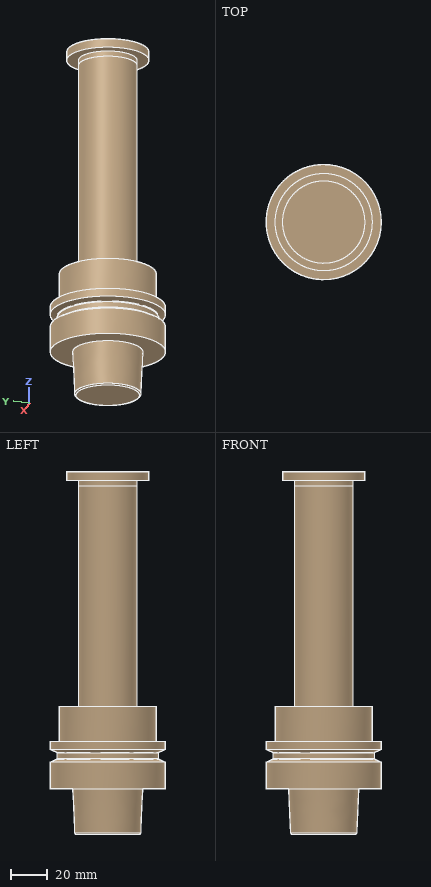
import cadquery as cq

total_height = 198.0

shank_height = 25.0
shank_top_dia = 38.5
shank_bottom_dia = 36.2
shank_chamfer = 0.8
flange_height = 26.0
flange_dia = 63.0
hub_height = 19.0
hub_dia = 53.0
stem_dia = 32.0

groove_center_above_face = 18.0
groove_floor_width = 3.5
groove_mouth_width = 7.0
groove_floor_dia = 55.5
groove_floor_fillet = 0.4

disc_dia = 45.0
disc_thickness = 5.0
neck_length = 3.0

flange_bottom = shank_height
flange_top = flange_bottom + flange_height
hub_top = flange_top + hub_height
stem_top = total_height - disc_thickness - neck_length


def cylinder(diameter, bottom, height):
    """Upright cylinder on the Z axis."""
    return cq.Workplane("XY").workplane(offset=bottom).circle(diameter / 2).extrude(height)


def revolve_profile(points):
    """Turn a closed (radius, Z) outline around the Z axis."""
    return cq.Workplane("XZ").polyline(points).close().revolve(360, (0, 0), (0, 1))


def make_shank():
    """Tapered shank with a chamfered bottom edge."""
    shank = revolve_profile([
        (0, 0),
        (shank_bottom_dia / 2, 0),
        (shank_top_dia / 2, shank_height),
        (0, shank_height),
    ])
    return shank.faces("<Z").edges().chamfer(shank_chamfer)


def make_flange():
    """Flange disc with a round-cornered groove cut into its rim."""
    center = flange_bottom + groove_center_above_face
    groove = revolve_profile([
        (groove_floor_dia / 2, center - groove_floor_width / 2),
        (flange_dia / 2, center - groove_mouth_width / 2),
        (flange_dia / 2, center + groove_mouth_width / 2),
        (groove_floor_dia / 2, center + groove_floor_width / 2),
    ])
    floor_edges = groove.edges(cq.selectors.RadiusNthSelector(0))
    groove = floor_edges.fillet(groove_floor_fillet)
    return cylinder(flange_dia, flange_bottom, flange_height).cut(groove)


def make_holder():
    """Shank, flange, hub and long stem as one solid."""
    hub = cylinder(hub_dia, flange_top, hub_height)
    stem = cylinder(stem_dia, hub_top, stem_top - hub_top)
    return make_shank().union(make_flange()).union(hub).union(stem)


def make_cap():
    """Disc and neck resting on the end of the stem."""
    neck = cylinder(stem_dia, stem_top, neck_length)
    disc = cylinder(disc_dia, stem_top + neck_length, disc_thickness)
    return neck.union(disc)


holder = make_holder()
cap = make_cap()

result = cq.Compound.makeCompound([holder.val(), cap.val()])